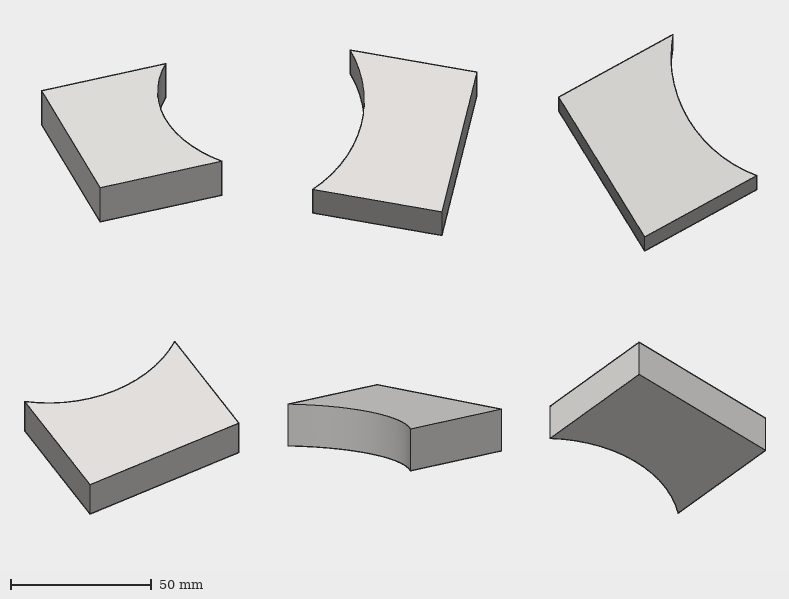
import cadquery as cq
import math

width = 60.94
thickness = 15.24
left_side_length = 47.01

saddle_radius = 48.26
saddle_center_x = 31.02

saddle_center_y = left_side_length + math.sqrt(saddle_radius**2 - saddle_center_x**2)


def make_block():
    """Rectangular block with its front left bottom corner at the origin."""
    return cq.Workplane("XY").box(width, left_side_length, thickness, centered=False)


def make_saddle_cutter():
    """Vertical cylinder that hollows out the back face."""
    return (
        cq.Workplane("XY")
        .center(saddle_center_x, saddle_center_y)
        .circle(saddle_radius)
        .extrude(thickness)
    )


result = make_block().cut(make_saddle_cutter())